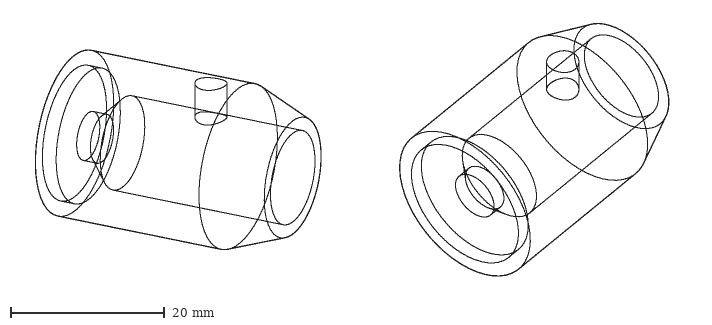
import cadquery as cq

length = 32.0
body_diameter = 22.0
nose_length = 8.0
nose_diameter = 16.0

bore_diameter = 6.5
recess_diameter = 18.0
recess_depth = 2.0
web_thickness = 2.0
cavity_diameter = 12.5
cavity_cone_length = 3.0
cross_hole_diameter = 4.2
cross_hole_x = 20.0

body_length = length - nose_length
body_radius = body_diameter / 2
nose_radius = nose_diameter / 2
bore_radius = bore_diameter / 2
cavity_radius = cavity_diameter / 2
cavity_start = recess_depth + web_thickness
cone_end = cavity_start + cavity_cone_length


def turned_body():
    """Straight cylinder with a conical nose at the +X end."""
    return (
        cq.Workplane("XZ")
        .moveTo(0, 0)
        .lineTo(0, body_radius)
        .lineTo(body_length, body_radius)
        .lineTo(length, nose_radius)
        .lineTo(length, 0)
        .close()
        .revolve(360, (0, 0, 0), (1, 0, 0))
    )


def axial_hole(diameter, depth):
    """Cylinder along X, starting at the flat -X end."""
    return (
        cq.Workplane("XZ")
        .rect(depth, diameter / 2, centered=False)
        .revolve(360, (0, 0, 0), (1, 0, 0))
    )


def cavity():
    """Wide bore open at the +X end, narrowing through a cone to the small bore."""
    return (
        cq.Workplane("XZ")
        .moveTo(cavity_start, 0)
        .lineTo(cavity_start, bore_radius)
        .lineTo(cone_end, cavity_radius)
        .lineTo(length, cavity_radius)
        .lineTo(length, 0)
        .close()
        .revolve(360, (0, 0, 0), (1, 0, 0))
    )


def cross_hole():
    """Radial hole from the axis out through the +Z side."""
    return (
        cq.Workplane("XY")
        .center(cross_hole_x, 0)
        .circle(cross_hole_diameter / 2)
        .extrude(body_diameter)
    )


result = (
    turned_body()
    .cut(axial_hole(recess_diameter, recess_depth))
    .cut(axial_hole(bore_diameter, length))
    .cut(cavity())
    .cut(cross_hole())
)